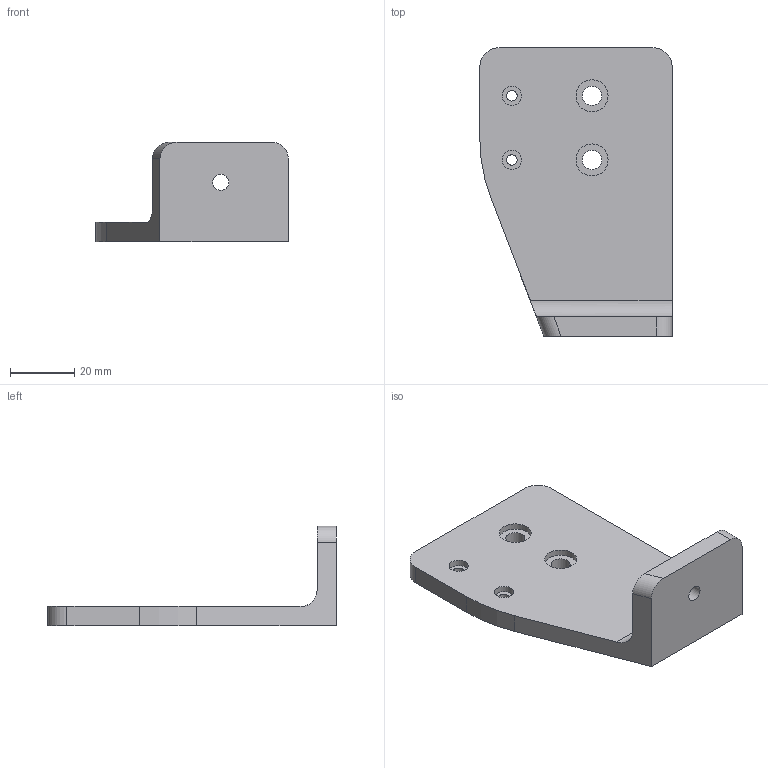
import cadquery as cq

LENGTH_X = 60.0
LENGTH_Y = 90.0
THICKNESS = 6.0
REAR_CORNER_RADIUS = 6.0

WALL_LEFT_X = 20.0
SLANT_END_Y = 52.2
SLANT_BLEND_RADIUS = 50.0

HEIGHT = 31.0
WALL_CORNER_RADIUS = 5.0
INNER_BEND_RADIUS = 5.0
WALL_HOLE_DIAMETER = 5.0
WALL_HOLE_X = 39.0
WALL_HOLE_Z = 18.5

HOLE_ROWS_Y = (55.0, 75.0)
SMALL_HOLE_X = 10.0
SMALL_HOLE_DIAMETER = 3.25
SMALL_BORE_DIAMETER = 6.0
SMALL_BORE_DEPTH = 2.0
LARGE_HOLE_X = 35.0
LARGE_HOLE_DIAMETER = 6.0
LARGE_BORE_DIAMETER = 10.0
LARGE_BORE_DEPTH = 2.0


def make_footprint_prism():
    """Full-height block with the plate's outline and rounded vertical edges."""
    outline = [
        (WALL_LEFT_X, 0),
        (LENGTH_X, 0),
        (LENGTH_X, LENGTH_Y),
        (0, LENGTH_Y),
        (0, SLANT_END_Y),
    ]
    prism = cq.Workplane("XY").polyline(outline).close().extrude(HEIGHT)
    prism = prism.edges("|Z and >Y").fillet(REAR_CORNER_RADIUS)
    slant_edge = cq.selectors.NearestToPointSelector((0, SLANT_END_Y, HEIGHT / 2))
    return prism.edges(slant_edge).fillet(SLANT_BLEND_RADIUS)


def make_l_profile():
    """L-shaped side profile with the inner bend, extruded across the full width."""
    profile = (
        cq.Workplane("YZ")
        .moveTo(0, 0)
        .lineTo(LENGTH_Y, 0)
        .lineTo(LENGTH_Y, THICKNESS)
        .lineTo(THICKNESS + INNER_BEND_RADIUS, THICKNESS)
        .radiusArc((THICKNESS, THICKNESS + INNER_BEND_RADIUS), INNER_BEND_RADIUS)
        .lineTo(THICKNESS, HEIGHT)
        .lineTo(0, HEIGHT)
        .close()
    )
    return profile.extrude(LENGTH_X)


def round_wall_corners(body):
    """Round the two upper corners of the wall, through its thickness."""
    top_ends = body.faces(">Z").edges("not |X")
    return top_ends.fillet(WALL_CORNER_RADIUS)


def drill_plate(body, x, diameter, bore_diameter, bore_depth):
    """One counterbored hole in each row at the given X."""
    centers = [(x, y) for y in HOLE_ROWS_Y]
    return (
        body.copyWorkplane(cq.Workplane("XY", origin=(0, 0, THICKNESS)))
        .pushPoints(centers)
        .cboreHole(diameter, bore_diameter, bore_depth, THICKNESS)
    )


def drill_wall(body):
    """Plain hole through the wall along Y."""
    hole = (
        cq.Workplane("XZ")
        .center(WALL_HOLE_X, WALL_HOLE_Z)
        .circle(WALL_HOLE_DIAMETER / 2)
        .extrude(-THICKNESS)
    )
    return body.cut(hole)


bracket = make_footprint_prism().intersect(make_l_profile())
bracket = round_wall_corners(bracket)
bracket = drill_plate(bracket, SMALL_HOLE_X, SMALL_HOLE_DIAMETER, SMALL_BORE_DIAMETER, SMALL_BORE_DEPTH)
bracket = drill_plate(bracket, LARGE_HOLE_X, LARGE_HOLE_DIAMETER, LARGE_BORE_DIAMETER, LARGE_BORE_DEPTH)
result = drill_wall(bracket)